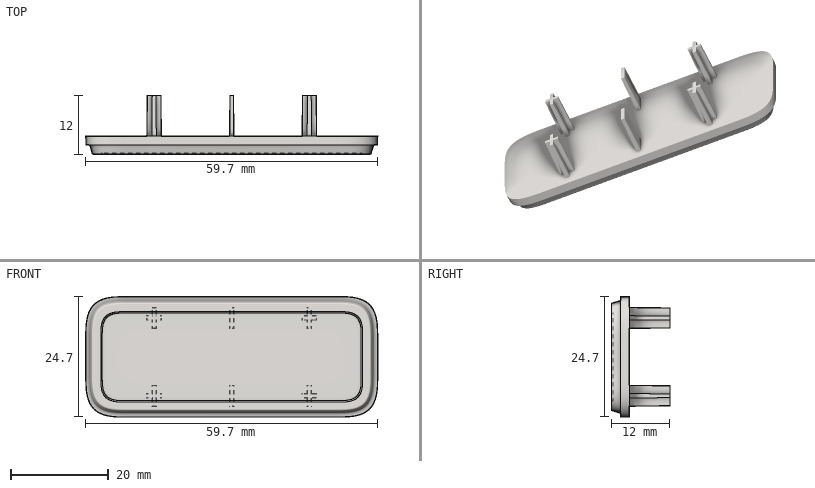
import cadquery as cq

plate_length = 59.66
plate_height = 24.66
plate_thickness = 1.78
plate_front_inset = 0.05
corner_reach = 7.55
corner_fullness = 0.745

panel_root_inset = 0.82
panel_face_inset = 1.4
panel_thickness = 1.92
panel_root_fillet = 0.3
panel_edge_fillet = 0.3

recess_rim_inset = 3.08
recess_floor_inset = 3.38
recess_depth = 0.3

overall_depth = 12.03
pin_length = overall_depth - plate_thickness - panel_thickness
pin_draft = 0.6
pin_offset_x = 15.86
pin_offset_z = 7.95
rib_thickness = 0.92
blade_height = 4.3
arm_width = 3.0

panel_root_y = -plate_thickness
panel_face_y = panel_root_y - panel_thickness


def outline(inset):
    """Plate outline inset evenly; each corner is a soft curve, fuller than a circular arc."""
    half_length = plate_length / 2 - inset
    half_height = plate_height / 2 - inset
    reach = corner_reach - inset
    pull = reach * corner_fullness
    corner_signs = [(1, 1), (-1, 1), (-1, -1), (1, -1)]

    path = cq.Workplane("XZ").moveTo(half_length, reach - half_height)
    for sign_x, sign_z in corner_signs:
        corner = cq.Vector(sign_x * half_length, sign_z * half_height)
        to_side = cq.Vector(0, -sign_z)
        to_end = cq.Vector(-sign_x, 0)
        arrive, leave = (to_side, to_end) if sign_x == sign_z else (to_end, to_side)
        start = corner + arrive * reach
        finish = corner + leave * reach
        path = path.lineTo(start.x, start.y)
        controls = [start, start - arrive * pull, finish - leave * pull, finish]
        path = path.bezier([(point.x, point.y) for point in controls])
    return path.close().val()


def rounded_slab(back_inset, front_inset, back_y, thickness):
    """Slab growing toward -Y, whose walls slope evenly from the back inset to the front inset."""
    back = outline(back_inset).translate((0, back_y, 0))
    front = outline(front_inset).translate((0, back_y - thickness, 0))
    return cq.Workplane(cq.Solid.makeLoft([back, front], True))


def build_panel():
    """Drafted panel with a rounded front edge."""
    panel = rounded_slab(panel_root_inset, panel_face_inset, panel_root_y, panel_thickness)
    return panel.faces("<Y").edges().fillet(panel_edge_fillet)


def build_body():
    """Plate and panel, blended where they meet, with the recess cut into the face."""
    plate = rounded_slab(0, plate_front_inset, 0, plate_thickness)
    body = plate.union(build_panel())
    step_face = body.faces("<Y[1]").val()
    root_edges = step_face.innerWires()[0].Edges()
    body = body.newObject(root_edges).fillet(panel_root_fillet)

    recess = rounded_slab(recess_floor_inset, recess_rim_inset, panel_face_y + recess_depth, recess_depth)
    return body.cut(recess)


def rib(width, height, center_x, center_z):
    """Drafted rectangular rib standing on the back of the plate."""
    root = cq.Plane(origin=(center_x, 0, center_z), xDir=(1, 0, 0), normal=(0, 1, 0))
    return cq.Workplane(root).rect(width, height).extrude(pin_length, taper=pin_draft)


def build_pins():
    """Six pins in two rows; only the end pins carry a cross arm."""
    pins = cq.Workplane()
    for z in (-pin_offset_z, pin_offset_z):
        for x in (-pin_offset_x, 0, pin_offset_x):
            pins = pins.add(rib(rib_thickness, blade_height, x, z))
            if x != 0:
                pins = pins.add(rib(arm_width, rib_thickness, x, z))
    return pins.combine()


result = build_body().union(build_pins())